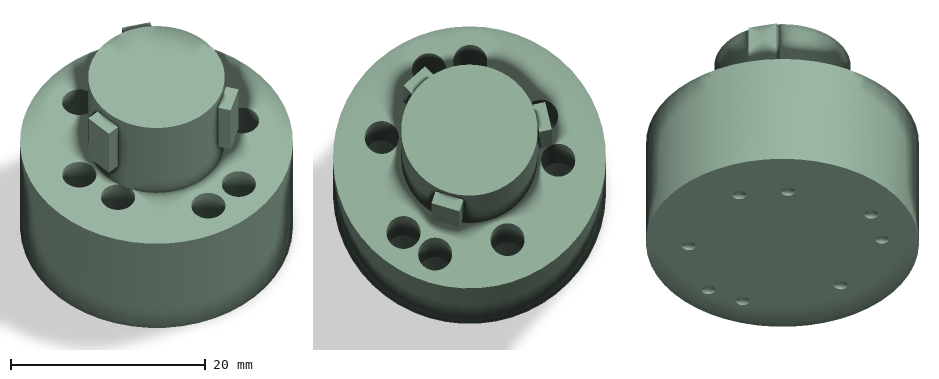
import cadquery as cq

DRUM_DIAMETER = 28.0
DRUM_HEIGHT = 13.0
NECK_DIAMETER = DRUM_DIAMETER / 2
NECK_HEIGHT = 10.0

KEY_COUNT = 3
KEY_WIDTH = 3.0
KEY_THICKNESS = 1.32
KEY_HEIGHT = 6.0
KEY_TOP_GAP = 1.0

BORE_DIAMETER = 3.5
BORE_DEPTH = 7.0
CONE_HEIGHT = 2.0
THROUGH_DIAMETER = 1.4

HOLE_CENTRES = [
    (7.67, 5.15),
    (-1.3, 10.42),
    (-5.18, 9.6),
    (-9.1, 3.1),
    (-6.4, -6.47),
    (-1.75, -8.37),
    (7.48, -7.03),
    (9.7, -3.33),
]


def make_hole_cutter(x, y):
    """Revolved cutter for one stepped hole, open at both ends of the drum."""
    bore_radius = BORE_DIAMETER / 2
    through_radius = THROUGH_DIAMETER / 2
    bore_floor = DRUM_HEIGHT - BORE_DEPTH
    profile = (
        cq.Workplane("XZ")
        .moveTo(0, 0)
        .lineTo(through_radius, 0)
        .lineTo(through_radius, bore_floor - CONE_HEIGHT)
        .lineTo(bore_radius, bore_floor)
        .lineTo(bore_radius, DRUM_HEIGHT)
        .lineTo(0, DRUM_HEIGHT)
        .close()
    )
    return profile.revolve(360, (0, 0), (0, 1)).translate((x, y, 0))


def make_housing():
    """Drum with its stepped holes; the neck is added last so that it stays whole."""
    drum = cq.Workplane("XY").circle(DRUM_DIAMETER / 2).extrude(DRUM_HEIGHT)
    for x, y in HOLE_CENTRES:
        drum = drum.cut(make_hole_cutter(x, y))
    neck = (
        cq.Workplane("XY")
        .workplane(offset=DRUM_HEIGHT)
        .circle(NECK_DIAMETER / 2)
        .extrude(NECK_HEIGHT)
    )
    return drum.union(neck).solids()


def make_key(angle):
    """Key whose flat inner face touches the neck at the given angle in degrees."""
    key_bottom = DRUM_HEIGHT + NECK_HEIGHT - KEY_TOP_GAP - KEY_HEIGHT
    return (
        cq.Workplane("XY")
        .box(KEY_THICKNESS, KEY_WIDTH, KEY_HEIGHT, centered=(False, True, False))
        .translate((NECK_DIAMETER / 2, 0, key_bottom))
        .rotate((0, 0, 0), (0, 0, 1), angle)
    )


housing = make_housing()
keys = [make_key(i * 360 / KEY_COUNT) for i in range(KEY_COUNT)]

result = cq.Compound.makeCompound([housing.val(), *[key.val() for key in keys]])